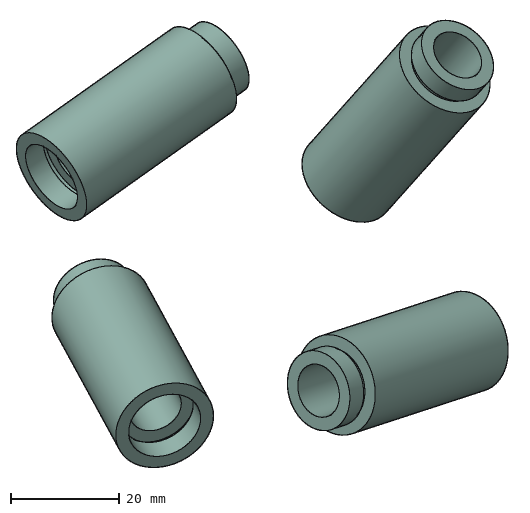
import cadquery as cq

total_length = 43.1
body_diameter = 19.05
body_length = 38.1

head_diameter = 15.15
head_length = 3.95
neck_diameter = 14.0

bore_diameter = 10.1
socket_diameter = 14.0
socket_depth = 5.5
relief_diameter = 15.15
relief_width = 1.0

front_y = -total_length / 2
back_y = total_length / 2
neck_length = total_length - body_length - head_length


def cylinder_along_y(diameter, start_y, length):
    """Solid cylinder on the Y axis, running from start_y toward +Y."""
    plane = cq.Workplane("XZ", origin=(0, start_y, 0))
    return plane.circle(diameter / 2).extrude(-length)


body = cylinder_along_y(body_diameter, front_y, body_length)
neck = cylinder_along_y(neck_diameter, front_y + body_length, neck_length)
head = cylinder_along_y(head_diameter, back_y - head_length, head_length)
outside = body.union(neck).union(head)

bore = cylinder_along_y(bore_diameter, front_y, total_length)
socket = cylinder_along_y(socket_diameter, front_y, socket_depth)
relief = cylinder_along_y(relief_diameter, front_y + socket_depth - relief_width, relief_width)

result = outside.cut(bore).cut(socket).cut(relief)